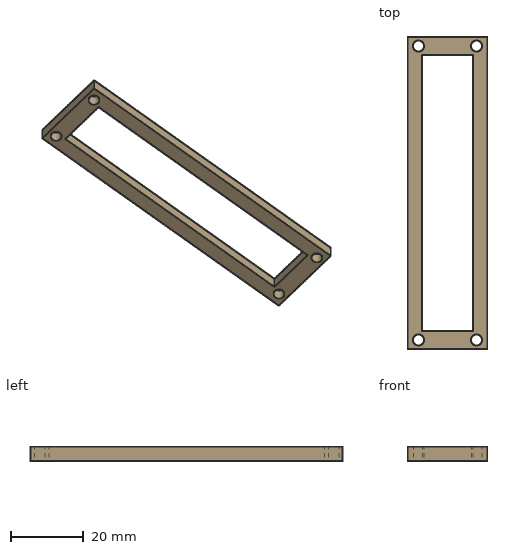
import cadquery as cq

width = 22.0
length = 86.0
thickness = 4.0

side_rail_width = 4.0
end_rail_width = 5.0
window_width = width - 2 * side_rail_width
window_length = length - 2 * end_rail_width

hole_diameter = 3.0
hole_side_inset = 3.0
hole_spacing_x = width - 2 * hole_side_inset
hole_spacing_y = length - end_rail_width


def make_frame():
    """Flat rectangular frame standing on the XY plane."""
    return (
        cq.Workplane("XY")
        .rect(width, length)
        .rect(window_width, window_length)
        .extrude(thickness)
    )


def cut_mounting_holes(frame):
    """Drill one through hole in each corner."""
    return (
        frame.faces(">Z")
        .workplane(origin=(0, 0, thickness))
        .rect(hole_spacing_x, hole_spacing_y, forConstruction=True)
        .vertices()
        .hole(hole_diameter)
    )


result = cut_mounting_holes(make_frame())